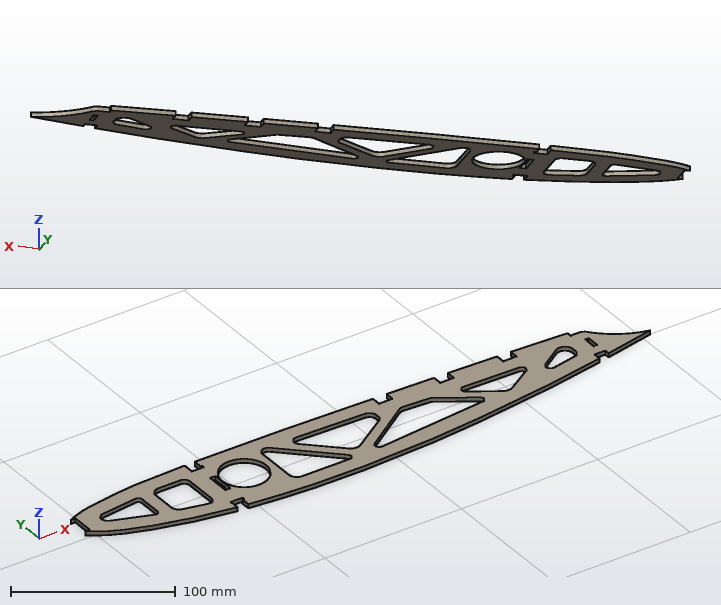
import cadquery as cq

length = 412.0
skin_peak = 62.0
thickness = 3.0

cut_margin = 4.0
cut_top = skin_peak + cut_margin
cut_bottom = -cut_margin

nose_bottom = 33.8
nose_top = 49.5
nose_notch_depth = 3.5
tail_tip = (length, 30.5)
tail_step_x = 368.5
tail_step_top = 56.0
tail_step_floor = 52.7
tail_step_end = 375.5
tail_round_middle = (378.5, 51.5)
tail_round_end = (380.0, 49.5)
tail_hollow_middle = (393.7, 38.0)
tail_bottom = (376.5, 23.0)
tail_notch_top = 26.8

upper_skin = [
    (14.5, 54.8), (30.5, 57.5), (49.0, 60.0), (71.3, 61.5), (111.5, skin_peak),
    (213.5, 61.0), (308.0, 58.5), (tail_step_x, tail_step_top),
]
lower_skin = [
    (327.5, 14.0), (286.0, 8.2), (247.5, 3.7), (210.0, 1.2), (160.0, 0.0),
    (112.5, 2.5), (89.8, 5.0), (55.0, 11.5), (30.5, 18.5), (15.5, 24.5), (0.0, nose_bottom),
]

spar_left = 92.0
spar_right = 99.3
spar_notch_floor = 54.0
spar_notch_roof = 12.0
spar_relief_width = 1.2
spar_relief_height = 1.5
spar_slot = (96.8, 100.5, 25.0, 41.5)
tail_slot = (373.5, 376.0, 35.0, 44.0)

hole_center = (117.0, 34.5)
hole_radius = 16.0

stringer_width = 10.0
stringer_notches = [(229.0, 54.0), (273.0, 52.7), (318.5, 51.5)]

pockets = [
    [(1.2, 42.0, 4.5), (49.0, 47.8, 2.5), (49.0, 24.7, 2.5)],
    [(58.5, 49.5, 5.8), (84.5, 49.5, 4.0), (84.5, 17.0, 4.0), (58.5, 22.5, 5.8)],
    [(138.5, 57.0, 4.5), (138.5, 12.0, 5.8), (185.5, 12.0, 2.5)],
    [(155.3, 50.5, 4.0), (220.5, 49.0, 5.0), (220.5, 39.5, 4.0), (189.0, 18.5, 6.5)],
    [(192.5, 11.5, 3.0), (237.2, 43.0, 5.8), (259.0, 41.5, 4.5), (289.5, 21.5, 2.5)],
    [(272.0, 41.0, 3.0), (332.0, 40.0, 3.0), (302.7, 21.5, 6.5)],
    [(324.0, 25.0, 3.5), (361.0, 50.2, 5.8), (361.0, 32.5, 4.5)],
]


def make_blank():
    """Plate with the curved skin outline and the stepped tail."""
    return (
        cq.Workplane("XY")
        .moveTo(0, nose_top)
        .spline(upper_skin, includeCurrent=True)
        .lineTo(tail_step_x, tail_step_floor)
        .lineTo(tail_step_end, tail_step_floor)
        .threePointArc(tail_round_middle, tail_round_end)
        .threePointArc(tail_hollow_middle, tail_tip)
        .lineTo(*tail_bottom)
        .spline(lower_skin, includeCurrent=True)
        .close()
        .extrude(thickness)
    )


def make_box(left, right, bottom, top):
    """Rectangular cutter through the plate thickness."""
    return (
        cq.Workplane("XY")
        .box(right - left, top - bottom, thickness, centered=False)
        .translate((left, bottom, 0))
    )


def make_pocket(corners):
    """Polygonal cutter with its own radius at each corner."""
    pocket = cq.Workplane("XY").polyline([(x, y) for x, y, _ in corners]).close().extrude(thickness)
    for x, y, radius in corners:
        corner_edge = cq.NearestToPointSelector((x, y, thickness / 2))
        pocket = pocket.edges("|Z").edges(corner_edge).fillet(radius)
    return pocket


result = make_blank()

result = result.cut(make_box(0, nose_notch_depth, nose_bottom, nose_top))
result = result.cut(make_box(spar_left, spar_right, spar_notch_floor, cut_top))
result = result.cut(make_box(spar_left, spar_right, cut_bottom, spar_notch_roof))
relief_right = spar_right + spar_relief_width
for relief_bottom in (spar_notch_floor, spar_notch_roof - spar_relief_height):
    relief_top = relief_bottom + spar_relief_height
    result = result.cut(make_box(spar_right, relief_right, relief_bottom, relief_top))

result = result.cut(make_box(tail_step_x, tail_bottom[0], cut_bottom, tail_notch_top))
for left, floor in stringer_notches:
    result = result.cut(make_box(left, left + stringer_width, floor, cut_top))

result = result.cut(make_box(*spar_slot))
result = result.cut(make_box(*tail_slot))
result = result.cut(cq.Workplane("XY").center(*hole_center).circle(hole_radius).extrude(thickness))
for corners in pockets:
    result = result.cut(make_pocket(corners))